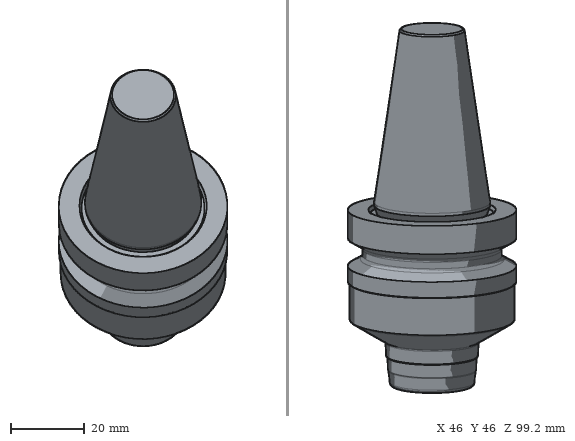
import cadquery as cq
import math

LENGTH = 99.2

GAUGE_RADIUS = 15.9
GAUGE_Z = 51.1
TAPER_RATIO = 7 / 24
TAPER_TIP_CHAMFER = 0.5
NECK_BOTTOM_Z = 50.2

FLANGE_RADIUS = 23.0
FLANGE_TOP_Z = 48.9
FLANGE_BOTTOM_Z = 29.0
FLANGE_EDGE_CHAMFER = 0.3
RELIEF_DEPTH = 1.0
RELIEF_INNER_RADIUS = 15.1
RELIEF_FLOOR_RADIUS = 16.8
RELIEF_OUTER_RADIUS = 17.4

GROOVE_RADIUS = 19.0
GROOVE_CENTRE_Z = 37.2
GROOVE_WIDTH = 7.7
GROOVE_WALL_ANGLE = 30.0
GROOVE_ROOT_FILLET = 1.2

BODY_RADIUS = 22.5
BODY_BOTTOM_Z = 18.5
BODY_EDGE_CHAMFER = 0.3
SHOULDER_BOTTOM_Z = 12.6
SHOULDER_BOTTOM_RADIUS = 13.2
SHOULDER_ARC_MIDDLE = (12.9, 12.4)

NOSE_BANDS = [(4.4, 12.0), (8.1, 12.3), (12.1, 12.8)]
NOSE_BAND_TAPER = 0.2
NOSE_STEP_HEIGHT = 0.3
NOSE_TIP_RADIUS = 11.6
NOSE_FILLET = 1.1


def taper_radius(z):
    """Radius of the spindle taper at height z."""
    return GAUGE_RADIUS - (z - GAUGE_Z) * TAPER_RATIO / 2


def nose_outline(profile):
    """Draw the nose from its flat end up to the top band."""
    profile = profile.lineTo(NOSE_TIP_RADIUS - NOSE_FILLET, 0)
    profile = profile.radiusArc((NOSE_TIP_RADIUS, NOSE_FILLET), -NOSE_FILLET)
    for below, (top_z, radius) in enumerate(NOSE_BANDS):
        if below > 0:
            lower_top_z = NOSE_BANDS[below - 1][0]
            profile = profile.lineTo(radius - NOSE_BAND_TAPER, lower_top_z + NOSE_STEP_HEIGHT)
        profile = profile.lineTo(radius, top_z)
    return profile


def make_blank():
    """Revolve the full outline without the gripper groove."""
    tip_z = LENGTH - TAPER_TIP_CHAMFER
    tip_radius = taper_radius(tip_z)
    profile = (
        nose_outline(cq.Workplane("XZ").moveTo(0, 0))
        .threePointArc(SHOULDER_ARC_MIDDLE, (SHOULDER_BOTTOM_RADIUS, SHOULDER_BOTTOM_Z))
        .lineTo(BODY_RADIUS - BODY_EDGE_CHAMFER, BODY_BOTTOM_Z - BODY_EDGE_CHAMFER)
        .lineTo(BODY_RADIUS, BODY_BOTTOM_Z)
        .lineTo(BODY_RADIUS, FLANGE_BOTTOM_Z - FLANGE_EDGE_CHAMFER)
        .lineTo(FLANGE_RADIUS, FLANGE_BOTTOM_Z)
        .lineTo(FLANGE_RADIUS, FLANGE_TOP_Z)
        .lineTo(RELIEF_OUTER_RADIUS, FLANGE_TOP_Z)
        .lineTo(RELIEF_FLOOR_RADIUS, FLANGE_TOP_Z - RELIEF_DEPTH)
        .lineTo(RELIEF_INNER_RADIUS, FLANGE_TOP_Z - RELIEF_DEPTH)
        .lineTo(GAUGE_RADIUS, NECK_BOTTOM_Z)
        .lineTo(GAUGE_RADIUS, GAUGE_Z)
        .lineTo(tip_radius, tip_z)
        .lineTo(tip_radius - TAPER_TIP_CHAMFER, LENGTH)
        .lineTo(0, LENGTH)
        .close()
    )
    return profile.revolve(360, (0, 0), (0, 1))


def make_gripper_groove():
    """Ring that cuts the V-walled groove, with rounded roots."""
    wall_drop = (FLANGE_RADIUS - GROOVE_RADIUS) * math.tan(math.radians(GROOVE_WALL_ANGLE))
    half_mouth = GROOVE_WIDTH / 2
    half_root = half_mouth - wall_drop
    ring = (
        cq.Workplane("XZ")
        .moveTo(FLANGE_RADIUS, GROOVE_CENTRE_Z - half_mouth)
        .lineTo(GROOVE_RADIUS, GROOVE_CENTRE_Z - half_root)
        .lineTo(GROOVE_RADIUS, GROOVE_CENTRE_Z + half_root)
        .lineTo(FLANGE_RADIUS, GROOVE_CENTRE_Z + half_mouth)
        .close()
        .revolve(360, (0, 0), (0, 1))
    )
    root_edges = cq.selectors.RadiusNthSelector(0)
    return ring.edges("%CIRCLE").edges(root_edges).fillet(GROOVE_ROOT_FILLET)


result = make_blank().cut(make_gripper_groove())